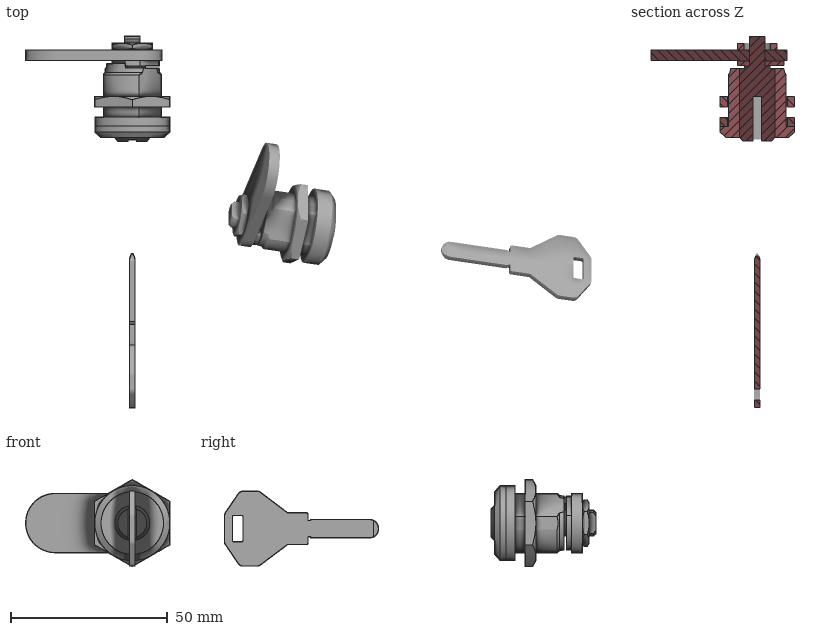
import cadquery as cq
import math


HEAD_RADIUS = 12.0
FACE_RADIUS = 10.0
HEAD_FRONT = -6.5
HEAD_BEVEL_START = -4.7
HEAD_BACK = -2.8
BARREL_RADIUS = 9.5
WIDE_FLAT_DISTANCE = 8.1
WIDE_FLAT_ANGLES = (45, 225)
SIDE_FLAT_DISTANCE = 9.3
SIDE_FLAT_ANGLES = (0, 180)
BARREL_BEVEL_START = 13.4
COLLAR_FRONT = 14.2
COLLAR_FRONT_RADIUS = 8.8
COLLAR_BACK_RADIUS = 8.4
RIM_BACK = 15.7
STOP_BACK = 17.1
STOP_INNER_RADIUS = 6.5
STOP_ANGLES = (105, 165)

PLUG_RADIUS = 5.6
PLUG_FACE_RADIUS = 4.6
PLUG_FRONT = -7.7
KEYWAY_WIDTH = 2.6
KEYWAY_HEIGHT = 5.7
KEYWAY_CENTRE_Z = -1.0
KEYWAY_DEPTH = 14.2
FACE_GROOVE_DEPTH = 0.5
SHAFT_RADIUS = 4.2
SHAFT_FLAT_WIDTH = 5.0
SHAFT_BACK = 25.9
SHAFT_BEVEL = 0.8

MOUNT_NUT_CORNERS = 27.8
MOUNT_NUT_FRONT = 3.2
MOUNT_NUT_BACK = 6.6
WASHER_FRONT = 16.4
WASHER_RADIUS = 6.4
WASHER_WING_RADIUS = 8.7
WASHER_GAP_ANGLES = (105, 255)
WASHER_FLAT_DISTANCE = 7.6
WASHER_FLAT_ANGLE = 45
CAM_FRONT = 18.0
CAM_BACK = 21.5
CAM_RADIUS = 9.5
CAM_TIP_X = -34.0
CAM_NUT_CORNERS = 14.8
CAM_NUT_BACK = 23.6
NUT_BEVEL_ANGLE = 30

KEY_THICKNESS = 1.8
KEY_CENTRE_Z = -1.8
KEY_TIP = -43.5
KEY_END = -92.8
TIP_BEVEL = 1.7
TIP_EDGE = 0.6
SHANK_HALF = 3.0
SHOULDER_Y = -66.1
SHOULDER_HALF = 5.1
SHOULDER_ROUND = 0.5
RELIEF_DEPTH = 0.4
RELIEF_LENGTH = 0.8
BOW_START = -72.6
BOW_WIDE_START = -81.7
BOW_WIDE_END = -87.8
BOW_HALF = 12.0
BOW_END_HALF = 4.6
BOW_ROUND = 2.0
RING_SLOT_FRONT = -86.8
RING_SLOT_BACK = -90.2
RING_SLOT_HEIGHT = 8.3
RING_SLOT_ROUND = 0.4

PICK_MARGIN = 1.2


def disc(radius, front, back):
    """Cylinder about the lock axis between two Y positions."""
    return cq.Workplane("XZ", origin=(0, back, 0)).circle(radius).extrude(back - front)


def block(width, height, front, back):
    """Box centred on the lock axis between two Y positions."""
    return cq.Workplane("XZ", origin=(0, back, 0)).rect(width, height).extrude(back - front)


def turned(profile):
    """Solid of revolution about the lock axis from (radius, y) points."""
    return cq.Workplane("XY").polyline(profile).close().revolve(360, (0, 0, 0), (0, 1, 0))


def shaft_profile(front, back):
    """Round shaft with two parallel flats facing -X and +X."""
    flats = block(SHAFT_FLAT_WIDTH, 2 * SHAFT_RADIUS, front, back)
    return disc(SHAFT_RADIUS, front, back).intersect(flats)


def sector(angles, radius, front, back):
    """Pie slice between two angles, measured from +X towards +Z."""
    start, end = (math.radians(angle) for angle in angles)
    start_point, middle_point, end_point = (
        (radius * math.cos(angle), radius * math.sin(angle))
        for angle in (start, (start + end) / 2, end)
    )
    return (
        cq.Workplane("XZ", origin=(0, back, 0))
        .lineTo(*start_point)
        .threePointArc(middle_point, end_point)
        .close()
        .extrude(back - front)
    )


def flat_cutter(distance, angle, front, back):
    """Everything further than a distance from the lock axis, in one direction."""
    return (
        block(HEAD_RADIUS, 2 * HEAD_RADIUS, front, back)
        .translate((distance + HEAD_RADIUS / 2, 0, 0))
        .rotate((0, 0, 0), (0, 1, 0), -angle)
    )


def hex_nut(corners, front, back, bore_radius, bevel_front=False):
    """Hexagon with a corner on Z; cones bevel its rear corners and, if asked, its front ones."""
    corner_radius = corners / 2
    flat_radius = corner_radius * math.cos(math.pi / 6)
    drop = (corner_radius - flat_radius) * math.tan(math.radians(NUT_BEVEL_ANGLE))
    hexagon = (
        cq.Workplane("XZ", origin=(0, back, 0))
        .polygon(6, corners)
        .extrude(back - front)
        .rotate((0, 0, 0), (0, 1, 0), 90)
    )
    if bevel_front:
        front_profile = [(0, front), (flat_radius, front), (corner_radius, front + drop)]
    else:
        front_profile = [(0, front), (corner_radius, front)]
    back_profile = [(corner_radius, back - drop), (flat_radius, back), (0, back)]
    return hexagon.intersect(turned(front_profile + back_profile)).cut(disc(bore_radius, front, back))


def make_housing():
    head = turned([
        (0, HEAD_FRONT), (FACE_RADIUS, HEAD_FRONT), (HEAD_RADIUS, HEAD_BEVEL_START),
        (HEAD_RADIUS, HEAD_BACK), (0, HEAD_BACK),
    ])
    barrel = turned([
        (0, HEAD_BACK), (BARREL_RADIUS, HEAD_BACK), (BARREL_RADIUS, BARREL_BEVEL_START),
        (COLLAR_FRONT_RADIUS, COLLAR_FRONT), (COLLAR_BACK_RADIUS, STOP_BACK), (0, STOP_BACK),
    ])
    for angle in WIDE_FLAT_ANGLES:
        barrel = barrel.cut(flat_cutter(WIDE_FLAT_DISTANCE, angle, HEAD_BACK, STOP_BACK))
    for angle in SIDE_FLAT_ANGLES:
        barrel = barrel.cut(flat_cutter(SIDE_FLAT_DISTANCE, angle, HEAD_BACK, STOP_BACK))

    stop_zone = sector(STOP_ANGLES, HEAD_RADIUS, RIM_BACK, STOP_BACK).cut(
        disc(STOP_INNER_RADIUS, RIM_BACK, STOP_BACK)
    )
    lowered = disc(HEAD_RADIUS, RIM_BACK, STOP_BACK).cut(stop_zone)
    return head.union(barrel.cut(lowered)).cut(disc(PLUG_RADIUS, HEAD_FRONT, RIM_BACK))


def make_gasket():
    return disc(HEAD_RADIUS, HEAD_BACK, 0).cut(disc(BARREL_RADIUS, HEAD_BACK, 0))


def make_plug():
    core = turned([
        (0, PLUG_FRONT), (PLUG_FACE_RADIUS, PLUG_FRONT), (PLUG_RADIUS, HEAD_FRONT),
        (PLUG_RADIUS, RIM_BACK), (0, RIM_BACK),
    ])
    keyway = block(KEYWAY_WIDTH, KEYWAY_HEIGHT, PLUG_FRONT, PLUG_FRONT + KEYWAY_DEPTH).translate(
        (0, 0, KEYWAY_CENTRE_Z)
    )
    face_groove = block(KEYWAY_WIDTH, 2 * PLUG_RADIUS, PLUG_FRONT, PLUG_FRONT + FACE_GROOVE_DEPTH)
    neck = disc(SHAFT_RADIUS, RIM_BACK, WASHER_FRONT)
    bevel = turned([
        (0, WASHER_FRONT), (SHAFT_RADIUS, WASHER_FRONT), (SHAFT_RADIUS, SHAFT_BACK - SHAFT_BEVEL),
        (SHAFT_RADIUS - SHAFT_BEVEL, SHAFT_BACK), (0, SHAFT_BACK),
    ])
    shaft = shaft_profile(WASHER_FRONT, SHAFT_BACK).intersect(bevel)
    return core.cut(keyway).cut(face_groove).union(neck).union(shaft)


def make_stop_washer():
    wing = (
        disc(WASHER_WING_RADIUS, WASHER_FRONT, CAM_FRONT)
        .cut(sector(WASHER_GAP_ANGLES, HEAD_RADIUS, WASHER_FRONT, CAM_FRONT))
        .cut(flat_cutter(WASHER_FLAT_DISTANCE, WASHER_FLAT_ANGLE, WASHER_FRONT, CAM_FRONT))
    )
    washer = disc(WASHER_RADIUS, WASHER_FRONT, CAM_FRONT).union(wing)
    return washer.cut(shaft_profile(WASHER_FRONT, CAM_FRONT))


def make_cam():
    tip_centre = CAM_TIP_X + CAM_RADIUS
    cam = (
        cq.Workplane("XZ", origin=(tip_centre / 2, CAM_BACK, 0))
        .slot2D(-tip_centre + 2 * CAM_RADIUS, 2 * CAM_RADIUS)
        .extrude(CAM_BACK - CAM_FRONT)
    )
    return cam.cut(shaft_profile(CAM_FRONT, CAM_BACK))


def make_key():
    shank_start = KEY_TIP - SHANK_HALF
    relief_start = SHOULDER_Y + RELIEF_LENGTH
    relief_half = SHANK_HALF - RELIEF_DEPTH
    upper_side = [
        (shank_start, SHANK_HALF),
        (relief_start, SHANK_HALF),
        (relief_start, relief_half),
        (SHOULDER_Y, relief_half),
        (SHOULDER_Y, SHOULDER_HALF),
        (BOW_START, SHOULDER_HALF),
        (BOW_WIDE_START, BOW_HALF),
        (BOW_WIDE_END, BOW_HALF),
        (KEY_END, BOW_END_HALF),
    ]
    lower_side = [(y, -z) for y, z in reversed(upper_side)]
    blank = (
        cq.Workplane("YZ")
        .polyline(upper_side + lower_side)
        .threePointArc((KEY_TIP, 0), upper_side[0])
        .close()
        .extrude(KEY_THICKNESS / 2, both=True)
    )
    bow_corners = cq.selectors.BoxSelector(
        (-KEY_THICKNESS, KEY_END - PICK_MARGIN, -BOW_HALF - PICK_MARGIN),
        (KEY_THICKNESS, BOW_START - PICK_MARGIN, BOW_HALF + PICK_MARGIN),
    )
    blank = blank.edges("|X").edges(bow_corners).fillet(BOW_ROUND)
    shoulder_corners = cq.selectors.BoxSelector(
        (-KEY_THICKNESS, SHOULDER_Y - SHOULDER_ROUND, -SHOULDER_HALF - PICK_MARGIN),
        (KEY_THICKNESS, SHOULDER_Y + SHOULDER_ROUND, SHOULDER_HALF + PICK_MARGIN),
    )
    blank = blank.edges("|X").edges(shoulder_corners).edges(">Z or <Z").fillet(SHOULDER_ROUND)

    ring_slot = (
        cq.Workplane("YZ")
        .center((RING_SLOT_FRONT + RING_SLOT_BACK) / 2, 0)
        .rect(RING_SLOT_FRONT - RING_SLOT_BACK, RING_SLOT_HEIGHT)
        .extrude(KEY_THICKNESS, both=True)
        .edges("|X")
        .fillet(RING_SLOT_ROUND)
    )

    bevel_start = KEY_TIP - TIP_BEVEL
    side = KEY_THICKNESS / 2
    thinned = (
        cq.Workplane("XY")
        .polyline([
            (-side, KEY_END), (side, KEY_END), (side, bevel_start),
            (TIP_EDGE / 2, KEY_TIP), (-TIP_EDGE / 2, KEY_TIP), (-side, bevel_start),
        ])
        .close()
        .extrude(BOW_HALF, both=True)
    )
    return blank.cut(ring_slot).intersect(thinned).translate((0, 0, KEY_CENTRE_Z))


housing = make_housing()
gasket = make_gasket()
plug = make_plug()
mounting_nut = hex_nut(MOUNT_NUT_CORNERS, MOUNT_NUT_FRONT, MOUNT_NUT_BACK, BARREL_RADIUS)
stop_washer = make_stop_washer()
cam = make_cam()
cam_nut = hex_nut(CAM_NUT_CORNERS, CAM_BACK, CAM_NUT_BACK, SHAFT_RADIUS, bevel_front=True)
key = make_key()

result = cq.Compound.makeCompound([
    housing.val(), gasket.val(), plug.val(), mounting_nut.val(),
    stop_washer.val(), cam.val(), cam_nut.val(), key.val(),
])